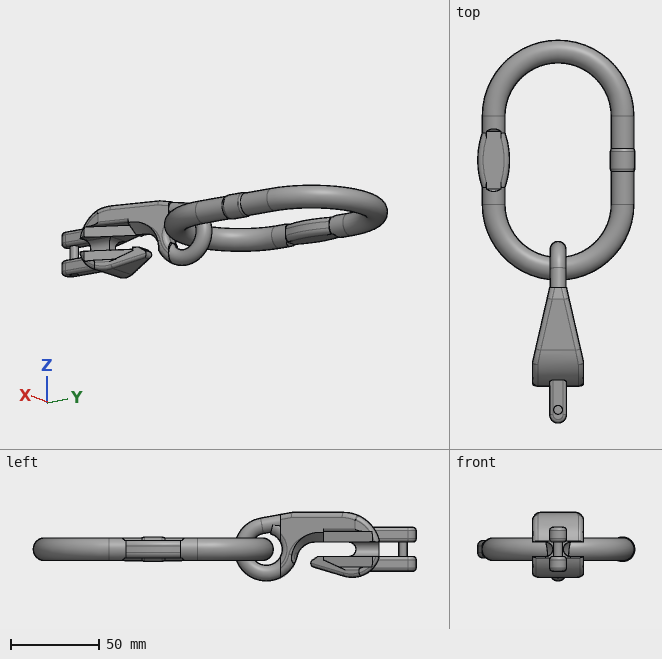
import cadquery as cq
import math

WIRE_DIAMETER = 13.0
WIRE_RADIUS = WIRE_DIAMETER / 2
LINK_INNER_WIDTH = 60.0
LINK_STRAIGHT = 50.0
BEND_RADIUS = LINK_INNER_WIDTH / 2 + WIRE_RADIUS
LINK_BOTTOM_Y = -(LINK_STRAIGHT / 2 + BEND_RADIUS + WIRE_RADIUS)

WELD_DIAMETER = 13.97
WELD_LENGTH = 10.0
WELD_LENGTH_WITH_CONES = 13.0

TAG_HALF_WIDTH = 9.065
TAG_HALF_LENGTH = 16.2
TAG_LENS_HALF_LENGTH = 15.4
TAG_HALF_THICKNESS = 5.0
TAG_EDGE_RADIUS = 3.1

EYE_WIRE_RADIUS = 4.5
EYE_HOLE_RADIUS = 9.0
EYE_OUTER_RADIUS = EYE_HOLE_RADIUS + 2 * EYE_WIRE_RADIUS
EYE_CLOSING_ANGLE = math.radians(75)
EYE_CLEARANCE = 0.03
EYE_Y = LINK_BOTTOM_Y + WIRE_DIAMETER - EYE_HOLE_RADIUS + EYE_CLEARANCE

SHANK_START_Y = EYE_Y - 8.0
SHANK_START_HALF_WIDTH = 4.8
HOOK_HALF_WIDTH = 14.5
FULL_WIDTH_Y = -114.3

BACK_Y = -128.6
TOP_Z = 20.98
BACK_CURVE_Y = BACK_Y + TOP_Z
TOP_RISE_ANGLE = math.radians(10.3)
TOP_EDGE_RADIUS = 3.0
THROAT_EDGE_RADIUS = 4.0
HOLE_EDGE_RADIUS = 3.5
THROAT_RIDGE_HALF_WIDTH = 1.0
THROAT_FLARE_SLOPE = 0.65

SLOT_HALF_HEIGHT = 4.0
THROAT_END_Y = -91.5
NECK_FRONT_Y = -114.7
NECK_HALF_WIDTH = 3.0
BACK_EDGE_CHAMFER = 0.8

JAW_DEPTH = 16.0
JAW_CURVE_Y = BACK_Y + JAW_DEPTH
JAW_SLOPE = math.radians(16.7)
JAW_TIP_Y = -89.15
JAW_TIP_HALF_WIDTH = 2.8
JAW_TIP_Z = -7.95
JAW_TIP_RADIUS = 2.2
JAW_TIP_ARC_OFFSET = 0.6
JAW_TIP_FLAT_END_Y = -93.1
JAW_FULL_WIDTH_Y = -116.5
JAW_EDGE_RADIUS = 2.0

POCKET_REAR_Y = -124.1
POCKET_FRONT_Y = -96.3
POCKET_HALF_HEIGHT = 10.0
POCKET_RAMP_DEPTH = 6.0
POCKET_RAMP_Y = -105.0
POCKET_EDGE_RADIUS = 1.6
WEDGE_TIP_HALF_WIDTH = 0.8

FORK_END_Y = -148.92
FORK_HALF_WIDTH = 4.8
FORK_OUTER_Z = 12.5
FORK_EDGE_RADIUS = 2.0
FORK_ROOT_Y = BACK_Y + 8.0
PIN_DIAMETER = 5.0
PIN_Y = -141.4


def extrude_across(profile, half_width):
    """Closed outline in the YZ plane, extruded to both sides of X = 0."""
    return profile.extrude(half_width, both=True)


def symmetric_plan(points, z_min, z_max):
    """Prism along Z whose XY outline is the given +X half and its mirror image."""
    mirrored = [(-x, y) for x, y in reversed(points)]
    outline = cq.Workplane("XY").workplane(offset=z_min).polyline(points + mirrored).close()
    return outline.extrude(z_max - z_min)


def side_edges(body, y_range, z_range):
    """Edges along the side faces, away from X = 0, whose centres lie in the Y and Z ranges."""
    found = []
    for edge in body.edges().vals():
        centre = edge.Center()
        upright = abs(edge.tangentAt(0.5).z) > 0.999 and edge.geomType() == "LINE"
        inside = y_range[0] <= centre.y <= y_range[1] and z_range[0] <= centre.z <= z_range[1] + 0.01
        if inside and abs(centre.x) > 1 and not upright:
            found.append(edge)
    return found


def link_tag():
    """Lens-shaped forged flat on the left leg."""
    lens = (
        cq.Workplane("XY").workplane(offset=-TAG_HALF_THICKNESS)
        .moveTo(-WIRE_RADIUS, -TAG_LENS_HALF_LENGTH)
        .threePointArc((-TAG_HALF_WIDTH, 0), (-WIRE_RADIUS, TAG_LENS_HALF_LENGTH))
        .lineTo(WIRE_RADIUS, TAG_LENS_HALF_LENGTH)
        .threePointArc((TAG_HALF_WIDTH, 0), (WIRE_RADIUS, -TAG_LENS_HALF_LENGTH))
        .close().extrude(2 * TAG_HALF_THICKNESS)
    )
    return lens.faces("<X or >X").edges("not |Z").fillet(TAG_EDGE_RADIUS)


def tag_relief(side):
    """Removes the wire above (+1) or below (-1) the flat, with 45 degree end ramps."""
    rise = WIRE_RADIUS
    profile = (
        cq.Workplane("YZ")
        .moveTo(-TAG_HALF_LENGTH, side * TAG_HALF_THICKNESS)
        .lineTo(TAG_HALF_LENGTH, side * TAG_HALF_THICKNESS)
        .lineTo(TAG_HALF_LENGTH + rise, side * (TAG_HALF_THICKNESS + rise))
        .lineTo(-TAG_HALF_LENGTH - rise, side * (TAG_HALF_THICKNESS + rise))
        .close()
    )
    return extrude_across(profile, 2 * WIRE_RADIUS)


def weld_band():
    """Slightly thicker weld zone with short cones, on the right leg."""
    profile = [
        (0, -WELD_LENGTH_WITH_CONES / 2),
        (WIRE_RADIUS, -WELD_LENGTH_WITH_CONES / 2),
        (WELD_DIAMETER / 2, -WELD_LENGTH / 2),
        (WELD_DIAMETER / 2, WELD_LENGTH / 2),
        (WIRE_RADIUS, WELD_LENGTH_WITH_CONES / 2),
        (0, WELD_LENGTH_WITH_CONES / 2),
    ]
    return cq.Workplane("XY").polyline(profile).close().revolve(360, (0, 0), (0, 1))


def master_link():
    """Oblong ring with the forged flat on one leg and the weld on the other."""
    half = LINK_STRAIGHT / 2
    path = (
        cq.Workplane("XY")
        .moveTo(-BEND_RADIUS, -half).lineTo(-BEND_RADIUS, half)
        .threePointArc((0, half + BEND_RADIUS), (BEND_RADIUS, half))
        .lineTo(BEND_RADIUS, -half)
        .threePointArc((0, -half - BEND_RADIUS), (-BEND_RADIUS, -half))
        .close()
    )
    wire_start = cq.Workplane("XZ", origin=(-BEND_RADIUS, -half, 0))
    link = wire_start.circle(WIRE_RADIUS).sweep(path)
    for side in (1, -1):
        link = link.cut(tag_relief(side).translate((-BEND_RADIUS, 0, 0)))
    link = link.union(link_tag().translate((-BEND_RADIUS, 0, 0)))
    return link.union(weld_band().translate((BEND_RADIUS, 0, 0)))


def eye():
    """Round wire that leaves the shank along its rising top and loops back into it.

    Returned as the main loop and the short piece that closes the ring inside the shank.
    """
    ring_radius = EYE_HOLE_RADIUS + EYE_WIRE_RADIUS
    tangent_y = EYE_Y + ring_radius * math.sin(TOP_RISE_ANGLE)
    tangent_z = ring_radius * math.cos(TOP_RISE_ANGLE)
    start_y = SHANK_START_Y - 1.0
    start_z = tangent_z + (tangent_y - start_y) * math.tan(TOP_RISE_ANGLE)
    diagonal = ring_radius * math.sqrt(0.5)
    path = (
        cq.Workplane("YZ")
        .moveTo(start_y, start_z)
        .lineTo(tangent_y, tangent_z)
        .threePointArc((EYE_Y + diagonal, -diagonal), (EYE_Y - ring_radius, 0))
    )
    start_normal = (0, math.cos(TOP_RISE_ANGLE), -math.sin(TOP_RISE_ANGLE))
    start = cq.Workplane(cq.Plane(origin=(0, start_y, start_z), xDir=(1, 0, 0), normal=start_normal))
    wire = start.circle(EYE_WIRE_RADIUS).sweep(path)
    inner_path = (
        cq.Workplane("YZ")
        .moveTo(EYE_Y - ring_radius, 0)
        .threePointArc(
            (EYE_Y - ring_radius * math.cos(EYE_CLOSING_ANGLE / 2),
             ring_radius * math.sin(EYE_CLOSING_ANGLE / 2)),
            (EYE_Y - ring_radius * math.cos(EYE_CLOSING_ANGLE),
             ring_radius * math.sin(EYE_CLOSING_ANGLE)),
        )
    )
    inner_start = cq.Workplane("XY", origin=(0, EYE_Y - ring_radius, 0))
    return wire, inner_start.circle(EYE_WIRE_RADIUS).sweep(inner_path)


def throat_circle():
    """Circle tangent to the slot ceiling and to the rim of the eye."""
    run = EYE_Y - THROAT_END_Y
    radius = (run ** 2 + SLOT_HALF_HEIGHT ** 2 - EYE_OUTER_RADIUS ** 2) / (
        2 * (EYE_OUTER_RADIUS + SLOT_HALF_HEIGHT)
    )
    return run, radius, SLOT_HALF_HEIGHT - radius


def throat_flare(side):
    """Cone that opens the throat towards one side and leaves a narrow ridge in the middle."""
    _, radius, centre_z = throat_circle()
    height = HOOK_HALF_WIDTH - THROAT_RIDGE_HALF_WIDTH
    cone = cq.Solid.makeCone(
        radius, radius + height * THROAT_FLARE_SLOPE, height,
        cq.Vector(side * THROAT_RIDGE_HALF_WIDTH, THROAT_END_Y, centre_z), cq.Vector(side, 0, 0),
    )
    return cq.Workplane(obj=cone)


def arm():
    """Upper body from the eye to the back, above the slot, tapered in plan."""
    inset = EYE_Y - SHANK_START_Y
    hole_z = math.sqrt(EYE_HOLE_RADIUS ** 2 - inset ** 2)
    rim_z = math.sqrt(EYE_OUTER_RADIUS ** 2 - inset ** 2)
    top_start_z = EYE_OUTER_RADIUS / math.cos(TOP_RISE_ANGLE) + inset * math.tan(TOP_RISE_ANGLE)
    top_corner_y = SHANK_START_Y - (TOP_Z - top_start_z) / math.tan(TOP_RISE_ANGLE)
    back_end_z = SLOT_HALF_HEIGHT + BACK_EDGE_CHAMFER
    back_end_y = BACK_CURVE_Y - math.sqrt(TOP_Z ** 2 - back_end_z ** 2)
    diagonal = TOP_Z * math.sqrt(0.5)
    run, throat_radius, throat_centre_z = throat_circle()
    throat_angle = math.atan2(-throat_centre_z, run)
    throat_start = (
        EYE_Y - EYE_OUTER_RADIUS * math.cos(throat_angle),
        -EYE_OUTER_RADIUS * math.sin(throat_angle),
    )
    middle_angle = (throat_angle + math.pi / 2) / 2
    throat_middle = (
        THROAT_END_Y + throat_radius * math.cos(middle_angle),
        throat_centre_z + throat_radius * math.sin(middle_angle),
    )
    rim_diagonal = EYE_OUTER_RADIUS * math.sqrt(0.5)
    profile = (
        cq.Workplane("YZ")
        .moveTo(SHANK_START_Y, top_start_z)
        .lineTo(top_corner_y, TOP_Z)
        .lineTo(BACK_CURVE_Y, TOP_Z)
        .threePointArc((BACK_CURVE_Y - diagonal, diagonal), (back_end_y, back_end_z))
        .lineTo(back_end_y + BACK_EDGE_CHAMFER, SLOT_HALF_HEIGHT)
        .lineTo(THROAT_END_Y, SLOT_HALF_HEIGHT)
        .threePointArc(throat_middle, throat_start)
        .threePointArc((EYE_Y - rim_diagonal, -rim_diagonal), (SHANK_START_Y, -rim_z))
        .lineTo(SHANK_START_Y, -hole_z)
        .threePointArc((EYE_Y - EYE_HOLE_RADIUS, 0), (SHANK_START_Y, hole_z))
        .close()
    )
    plan = symmetric_plan(
        [
            (SHANK_START_HALF_WIDTH, SHANK_START_Y),
            (HOOK_HALF_WIDTH, FULL_WIDTH_Y),
            (HOOK_HALF_WIDTH, BACK_Y),
        ],
        -TOP_Z, TOP_Z,
    )
    body = extrude_across(profile, HOOK_HALF_WIDTH).intersect(plan)
    top_edges = side_edges(body, (BACK_Y, SHANK_START_Y - 1), (TOP_Z / 2, TOP_Z))
    body = body.newObject(top_edges).fillet(TOP_EDGE_RADIUS)
    hole_edges = side_edges(body, (EYE_Y - EYE_HOLE_RADIUS, SHANK_START_Y), (-1, 1))
    body = body.newObject(hole_edges).fillet(HOLE_EDGE_RADIUS)
    throat_edges = side_edges(
        body, (FULL_WIDTH_Y, SHANK_START_Y - 3), (-EYE_OUTER_RADIUS, SLOT_HALF_HEIGHT)
    )
    body = body.newObject(throat_edges).fillet(THROAT_EDGE_RADIUS)
    for side in (1, -1):
        body = body.cut(throat_flare(side))
    return body


def jaw_tip_relief():
    """Space in front of the rounded jaw tip."""
    arc_end_y = JAW_TIP_Y - JAW_TIP_RADIUS + JAW_TIP_ARC_OFFSET
    front_y = JAW_TIP_Y + 10.0
    profile = (
        cq.Workplane("YZ")
        .moveTo(JAW_TIP_FLAT_END_Y, -SLOT_HALF_HEIGHT)
        .lineTo(arc_end_y, JAW_TIP_Z + JAW_TIP_RADIUS)
        .threePointArc((JAW_TIP_Y, JAW_TIP_Z), (arc_end_y, JAW_TIP_Z - JAW_TIP_RADIUS))
        .lineTo(front_y, -JAW_DEPTH)
        .lineTo(front_y, 0)
        .lineTo(JAW_TIP_FLAT_END_Y, 0)
        .close()
    )
    return extrude_across(profile, HOOK_HALF_WIDTH)


def jaw():
    """Lower jaw below the slot, sloping up to a rounded tip."""
    back_end_z = SLOT_HALF_HEIGHT + BACK_EDGE_CHAMFER
    back_end_y = JAW_CURVE_Y - math.sqrt(JAW_DEPTH ** 2 - back_end_z ** 2)
    diagonal = JAW_DEPTH * math.sqrt(0.5)
    slope_start = (
        JAW_CURVE_Y + JAW_DEPTH * math.sin(JAW_SLOPE),
        -JAW_DEPTH * math.cos(JAW_SLOPE),
    )
    blank_end_y = JAW_TIP_Y + 2.0
    blank_end_z = slope_start[1] + (blank_end_y - slope_start[0]) * math.tan(JAW_SLOPE)
    profile = (
        cq.Workplane("YZ")
        .moveTo(back_end_y + BACK_EDGE_CHAMFER, -SLOT_HALF_HEIGHT)
        .lineTo(back_end_y, -back_end_z)
        .threePointArc((JAW_CURVE_Y - diagonal, -diagonal), slope_start)
        .lineTo(blank_end_y, blank_end_z)
        .lineTo(blank_end_y, -SLOT_HALF_HEIGHT)
        .close()
    )
    side_slope = (HOOK_HALF_WIDTH - JAW_TIP_HALF_WIDTH) / (JAW_TIP_Y - JAW_FULL_WIDTH_Y)
    blank_end_half_width = JAW_TIP_HALF_WIDTH - side_slope * (blank_end_y - JAW_TIP_Y)
    plan = symmetric_plan(
        [
            (blank_end_half_width, blank_end_y),
            (HOOK_HALF_WIDTH, JAW_FULL_WIDTH_Y),
            (HOOK_HALF_WIDTH, BACK_Y),
        ],
        -JAW_DEPTH - 1, 0,
    )
    body = extrude_across(profile, HOOK_HALF_WIDTH).intersect(plan)
    lower_edges = side_edges(body, (BACK_Y, blank_end_y), (-JAW_DEPTH, -POCKET_HALF_HEIGHT))
    body = body.newObject(lower_edges).fillet(JAW_EDGE_RADIUS)
    return body.cut(jaw_tip_relief())


def side_pocket(side):
    """Pocket that leaves a wedge in plan, narrowing towards the throat."""
    profile = (
        cq.Workplane("YZ")
        .moveTo(POCKET_REAR_Y, POCKET_HALF_HEIGHT)
        .lineTo(POCKET_FRONT_Y, POCKET_HALF_HEIGHT)
        .lineTo(POCKET_FRONT_Y, -POCKET_RAMP_DEPTH)
        .lineTo(POCKET_RAMP_Y, -POCKET_HALF_HEIGHT)
        .lineTo(POCKET_REAR_Y, -POCKET_HALF_HEIGHT)
        .close()
    )
    outside = 2 * HOOK_HALF_WIDTH
    plan = [
        (side * HOOK_HALF_WIDTH, POCKET_REAR_Y),
        (side * WEDGE_TIP_HALF_WIDTH, POCKET_FRONT_Y),
        (side * outside, POCKET_FRONT_Y),
        (side * outside, POCKET_REAR_Y),
    ]
    prism = cq.Workplane("XY").polyline(plan).close().extrude(POCKET_HALF_HEIGHT, both=True)
    return extrude_across(profile, outside).intersect(prism)


def round_pocket_edges(body):
    """Rounds the pocket roof and ledge where they meet the tapered sides."""
    outer_x = 0.75 * HOOK_HALF_WIDTH
    edges = []
    for edge in body.edges("%LINE").vals():
        centre = edge.Center()
        at_level = abs(abs(centre.z) - POCKET_HALF_HEIGHT) < 0.05
        if at_level and abs(centre.x) > outer_x and centre.y > FULL_WIDTH_Y:
            edges.append(edge)
    return body.newObject(edges).fillet(POCKET_EDGE_RADIUS)


def neck():
    """Web joining arm and jaw behind the slot, hollowed on both sides and in front."""
    groove_radius = SLOT_HALF_HEIGHT
    flare = NECK_HALF_WIDTH + groove_radius
    embedded_z = SLOT_HALF_HEIGHT + BACK_EDGE_CHAMFER
    back_y = JAW_CURVE_Y - math.sqrt(JAW_DEPTH ** 2 - embedded_z ** 2)
    slot_axis_y = NECK_FRONT_Y + SLOT_HALF_HEIGHT
    section = (
        cq.Workplane("XZ", origin=(0, slot_axis_y, 0))
        .moveTo(-flare, SLOT_HALF_HEIGHT).lineTo(-flare, embedded_z)
        .lineTo(flare, embedded_z).lineTo(flare, SLOT_HALF_HEIGHT)
        .threePointArc((NECK_HALF_WIDTH, 0), (flare, -SLOT_HALF_HEIGHT))
        .lineTo(flare, -embedded_z).lineTo(-flare, -embedded_z)
        .lineTo(-flare, -SLOT_HALF_HEIGHT)
        .threePointArc((-NECK_HALF_WIDTH, 0), (-flare, SLOT_HALF_HEIGHT))
        .close().extrude(slot_axis_y - back_y)
    )
    slot_end = extrude_across(
        cq.Workplane("YZ").center(slot_axis_y, 0).circle(SLOT_HALF_HEIGHT), HOOK_HALF_WIDTH
    )
    return section.cut(slot_end)


def fork_arm(side):
    """Fork arm above (+1) or below (-1) the chain gap, with a round end."""
    height = FORK_OUTER_Z - SLOT_HALF_HEIGHT
    round_y = FORK_END_Y + FORK_HALF_WIDTH
    tongue = (
        cq.Workplane("XY")
        .moveTo(-FORK_HALF_WIDTH, FORK_ROOT_Y).lineTo(-FORK_HALF_WIDTH, round_y)
        .threePointArc((0, FORK_END_Y), (FORK_HALF_WIDTH, round_y))
        .lineTo(FORK_HALF_WIDTH, FORK_ROOT_Y).close().extrude(height)
        .faces("<Z or >Z").edges("not >Y").fillet(FORK_EDGE_RADIUS)
    )
    z_low = SLOT_HALF_HEIGHT if side > 0 else -FORK_OUTER_Z
    return tongue.translate((0, 0, z_low))


def hook(pin_body):
    """Shortening hook with its eye and fork, bored for the pin."""
    body = arm().union(jaw()).union(neck())
    for side in (1, -1):
        body = body.cut(side_pocket(side))
    body = round_pocket_edges(body)
    for wire in eye():
        body = body.union(wire)
    for side in (1, -1):
        body = body.union(fork_arm(side))
    return body.cut(pin_body)


def pin():
    """Plain pin through both fork arms, flush with their outer faces."""
    cylinder = cq.Workplane("XY").workplane(offset=-FORK_OUTER_Z).center(0, PIN_Y)
    return cylinder.circle(PIN_DIAMETER / 2).extrude(2 * FORK_OUTER_Z)


pin_body = pin()
link_body = master_link()
hook_body = hook(pin_body)

result = cq.Compound.makeCompound([link_body.val(), hook_body.val(), pin_body.val()])